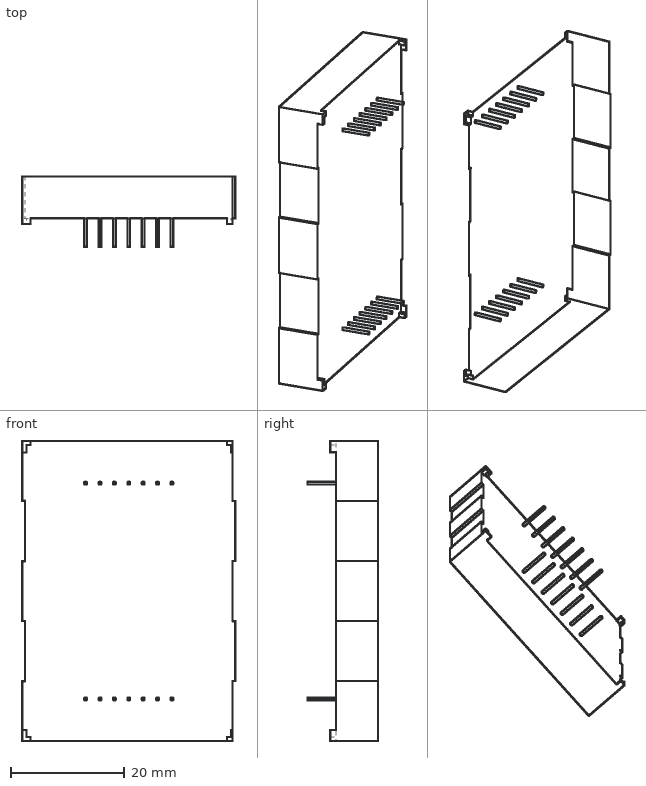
import cadquery as cq

overall_width = 37.65
height = 53.0
body_depth = 7.45

band_count = 5
band_height = height / band_count
band_shift = 0.5
band_width = overall_width - band_shift

foot_width = 1.5
foot_height = 2.0
foot_wall = 0.75
foot_length = 1.0

pin_diameter = 0.5
pin_length = 5.0
pin_pitch = 2.54
row_count = 2
pins_per_row = 7
row_spacing_pitches = 15
row_spacing = row_spacing_pitches * pin_pitch


def box_between(x_range, y_range, z_range):
    """Axis-aligned box spanning the given (low, high) ranges."""
    spans = [high - low for low, high in (x_range, y_range, z_range)]
    corner = (x_range[0], y_range[0], z_range[0])
    return cq.Workplane("XY").box(*spans, centered=False).translate(corner)


def make_body():
    """Stack of bands: even ones flush with the -X limit, odd ones with the +X limit."""
    body = cq.Workplane("XY")
    for band in range(band_count):
        left = -overall_width / 2 + band_shift * (band % 2)
        bottom = -height / 2 + band * band_height
        body = body.union(
            box_between((left, left + band_width), (0, body_depth), (bottom, bottom + band_height))
        )
    return body


def make_feet():
    """Corner feet, trimmed on the +X side where the end bands are stepped back."""
    half_width = overall_width / 2
    half_height = height / 2
    lower_left = (
        cq.Workplane("XZ")
        .moveTo(-half_width, -half_height)
        .lineTo(-half_width + foot_width, -half_height)
        .lineTo(-half_width + foot_width, -half_height + foot_wall)
        .lineTo(-half_width + foot_wall, -half_height + foot_wall)
        .lineTo(-half_width + foot_wall, -half_height + foot_height)
        .lineTo(-half_width, -half_height + foot_height)
        .close()
        .extrude(foot_length)
    )
    lower_pair = lower_left.union(lower_left.mirror("YZ"))
    feet = lower_pair.union(lower_pair.mirror("XY"))
    end_band_envelope = box_between(
        (-half_width, -half_width + band_width),
        (-foot_length, 0),
        (-half_height, half_height),
    )
    return feet.intersect(end_band_envelope)


def make_pins():
    """Pin rows, centred on the overall width and height."""
    return (
        cq.Workplane("XZ")
        .rarray(pin_pitch, row_spacing, pins_per_row, row_count)
        .circle(pin_diameter / 2)
        .extrude(pin_length)
    )


result = make_body().union(make_feet()).union(make_pins())